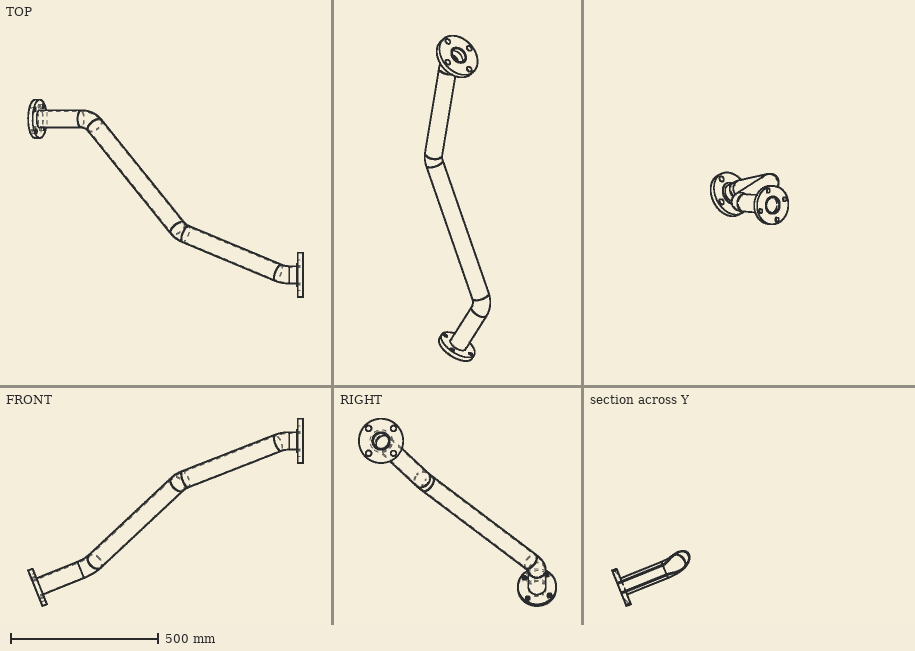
import cadquery as cq
import math

PIPE_RADIUS = 30.0
BORE_RADIUS = 26.0
BEND_RADIUS = 76.0
END_TILT = 22.0
END_LENGTH = 199.0

LOWER_CORNER = cq.Vector(-725.0, 530.0, -426.0)
MIDDLE_CORNER = cq.Vector(-416.0, 146.0, -136.0)
UPPER_CORNER = cq.Vector(-67.0, 0, 0)
UPPER_FACE = cq.Vector(0, 0, 0)
tilt = math.radians(END_TILT)
LOWER_FACE = LOWER_CORNER - cq.Vector(math.cos(tilt), 0, math.sin(tilt)) * END_LENGTH
ROUTE = [LOWER_FACE, LOWER_CORNER, MIDDLE_CORNER, UPPER_CORNER, UPPER_FACE]

BOLT_COUNT = 4
LOWER_RADIUS = 65.0
LOWER_THICKNESS = 17.0
LOWER_BOLT_CIRCLE = 53.0
LOWER_BOLT_HOLE = 7.0
LOWER_BOLT_ANGLE = 53.0
UPPER_RADIUS = 76.0
UPPER_THICKNESS = 19.0
UPPER_BOLT_CIRCLE = 60.0
UPPER_BOLT_HOLE = 9.0
UPPER_BOLT_ANGLE = 45.0
COLLAR_RADIUS = 38.0
COLLAR_HEIGHT = 3.0


def direction(start, end):
    return (end - start).normalized()


def bend_angle(corner):
    """Angle in radians through which the run turns at a corner of the route."""
    incoming = direction(ROUTE[corner - 1], ROUTE[corner])
    outgoing = direction(ROUTE[corner], ROUTE[corner + 1])
    return incoming.getAngle(outgoing)


def setback(corner):
    """Distance from a corner to the ends of its elbow; zero at the ends of the run."""
    if corner in (0, len(ROUTE) - 1):
        return 0
    return BEND_RADIUS * math.tan(bend_angle(corner) / 2)


def pipe(index):
    """Straight tube between two neighbouring corners, cut back to the elbows."""
    along = direction(ROUTE[index], ROUTE[index + 1])
    start = ROUTE[index] + along * setback(index)
    end = ROUTE[index + 1] - along * setback(index + 1)
    section = cq.Workplane(cq.Plane(start, normal=along))
    return section.circle(PIPE_RADIUS).circle(BORE_RADIUS).extrude((end - start).Length)


def elbow(corner):
    """Curved tube that joins the two pipes at a corner."""
    incoming = direction(ROUTE[corner - 1], ROUTE[corner])
    outgoing = direction(ROUTE[corner], ROUTE[corner + 1])
    start = ROUTE[corner] - incoming * setback(corner)
    axis = incoming.cross(outgoing).normalized()
    to_centre = axis.cross(incoming)
    section = cq.Workplane(cq.Plane(start, xDir=to_centre, normal=incoming))
    ring = section.circle(PIPE_RADIUS).circle(BORE_RADIUS)
    turn = math.degrees(bend_angle(corner))
    return ring.revolve(turn, (BEND_RADIUS, 0), (BEND_RADIUS, 1))


def flange_disc(plane, radius, thickness, bolt_circle, bolt_hole, bolt_angle):
    """Disc with a ring of bolt holes, grown from its outer face towards the pipe."""
    disc = cq.Workplane(plane).circle(radius).extrude(thickness)
    holes = (
        cq.Workplane(plane)
        .polarArray(bolt_circle, bolt_angle, 360, BOLT_COUNT)
        .circle(bolt_hole)
        .extrude(thickness)
    )
    return disc.cut(holes)


def lower_flange():
    """Slip-on flange whose outer face is flush with the pipe end."""
    plane = cq.Plane(LOWER_FACE, xDir=(0, -1, 0), normal=direction(LOWER_FACE, LOWER_CORNER))
    disc = flange_disc(
        plane, LOWER_RADIUS, LOWER_THICKNESS, LOWER_BOLT_CIRCLE, LOWER_BOLT_HOLE, LOWER_BOLT_ANGLE
    )
    pipe_hole = cq.Workplane(plane).circle(PIPE_RADIUS).extrude(LOWER_THICKNESS)
    return disc.cut(pipe_hole)


def upper_flange():
    """Slip-on flange with a low collar around the pipe."""
    plane = cq.Plane(UPPER_FACE, xDir=(0, -1, 0), normal=(-1, 0, 0))
    disc = flange_disc(
        plane, UPPER_RADIUS, UPPER_THICKNESS, UPPER_BOLT_CIRCLE, UPPER_BOLT_HOLE, UPPER_BOLT_ANGLE
    )
    full_depth = UPPER_THICKNESS + COLLAR_HEIGHT
    collar = cq.Workplane(plane).circle(COLLAR_RADIUS).extrude(full_depth)
    pipe_hole = cq.Workplane(plane).circle(PIPE_RADIUS).extrude(full_depth)
    return disc.union(collar).cut(pipe_hole)


pipes = [pipe(index) for index in range(len(ROUTE) - 1)]
elbows = [elbow(corner) for corner in range(1, len(ROUTE) - 1)]
flanges = [lower_flange(), upper_flange()]

result = cq.Compound.makeCompound([body.val() for body in pipes + elbows + flanges])